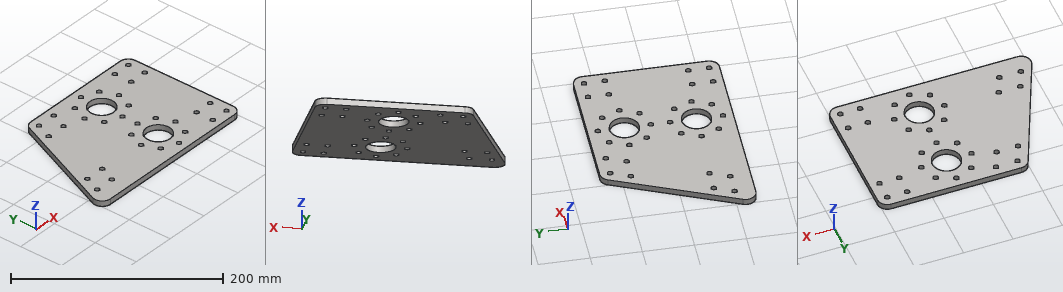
import cadquery as cq
import math

plate_width = 208.5
plate_height = 140.0
plate_thickness = 6.35
slant_run = 60.0
corner_radius = 10.0

hole_diameter = 5.1
edge_margin = 10.0
pair_pitch = 20.0
group_offset = 100.0

bore_diameter = 28.575
ring_radius = 25.4
ring_hole_count = 8
bore_from_right = 80.0

slant_angle = math.atan2(plate_height, slant_run)
bore_inset = edge_margin + ring_radius
bore_centers = [
    (-bore_from_right, bore_inset),
    (-bore_from_right, plate_height - bore_inset),
]
edge_stations = [
    group + step
    for group in (0.0, group_offset)
    for step in (0.0, pair_pitch)
]


def plate_blank():
    outline = [
        (0, 0),
        (0, plate_height),
        (slant_run - plate_width, plate_height),
        (-plate_width, 0),
    ]
    blank = cq.Workplane("XY").polyline(outline).close().extrude(plate_thickness)
    return blank.edges("|Z").fillet(corner_radius)


def ring_holes(center):
    """Evenly spaced holes around one bearing opening."""
    center_x, center_y = center
    points = []
    for index in range(ring_hole_count):
        angle = 2 * math.pi * index / ring_hole_count
        x = center_x + ring_radius * math.cos(angle)
        y = center_y + ring_radius * math.sin(angle)
        points.append((x, y))
    return points


def right_edge_holes():
    """Two columns of holes parallel to the straight right edge."""
    top_y = plate_height - edge_margin
    points = []
    for station in edge_stations:
        for column in (0, 1):
            points.append((-edge_margin - column * pair_pitch, top_y - station))
    return points


def slanted_edge_holes():
    """Two columns of holes parallel to the slanted edge, in level rows."""
    top_y = plate_height - edge_margin
    edge_x = slant_run - plate_width - edge_margin / math.tan(slant_angle)
    top_x = edge_x + edge_margin / math.sin(slant_angle)
    level_pitch = pair_pitch / math.sin(slant_angle)
    points = []
    for station in edge_stations:
        row_x = top_x - station * math.cos(slant_angle)
        row_y = top_y - station * math.sin(slant_angle)
        for column in (0, 1):
            points.append((row_x + column * level_pitch, row_y))
    return points


def through_cylinders(points, diameter):
    return cq.Workplane("XY").pushPoints(points).circle(diameter / 2).extrude(plate_thickness)


small_holes = right_edge_holes() + slanted_edge_holes()
for bore_center in bore_centers:
    small_holes += ring_holes(bore_center)

result = plate_blank()
result = result.cut(through_cylinders(bore_centers, bore_diameter))
result = result.cut(through_cylinders(small_holes, hole_diameter))